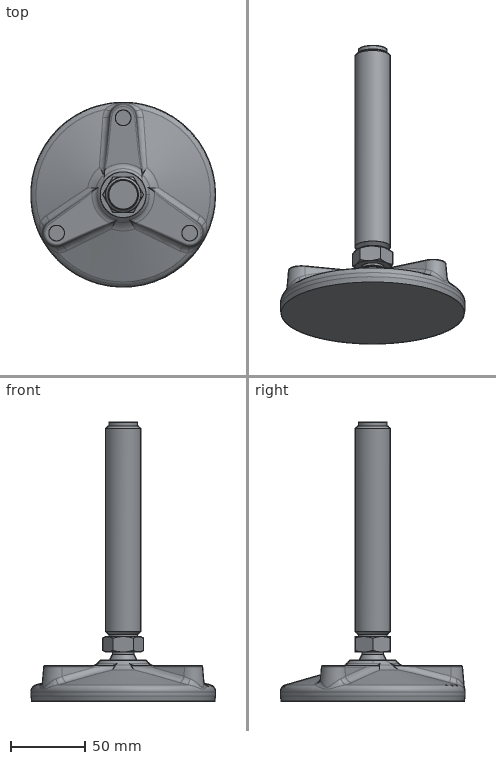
import cadquery as cq
import math

PLATE_RADIUS = 62.5
SOLE_RADIUS = 61.9
TAPER_HEIGHT = 3.5
RIM_ROUND = 5.0
RIM_CORNER_HEIGHT = 10.2
CONE_ANGLE = math.radians(16)

HUB_TOP = 28.1
HUB_RADIUS = 15.5
HUB_LIP = 0.4
VALLEY_ROUND = 13.2
COLLAR_ROUND = 5.0
COLLAR_ANGLE = math.radians(45)

ARM_COUNT = 3
FIRST_ARM_ANGLE = 90
ARM_TOP = 24.2
ARM_END_CENTER = 51.9
ARM_END_RADIUS = 8.7
ARM_FLARE = math.radians(6)
ARM_DRAFT = 5.0
ARM_FOOT_ROUND = 5.0
ARM_EDGE_ROUND = 1.0
ARM_SECTOR = 35
FOOT_EDGE_LOW = 7.5
FOOT_EDGE_HIGH = 14.2
ARM_ROOT = 5.7
MARK_DIAMETER = 10.5
MARK_DEPTH = 0.2

OVERALL_HEIGHT = 188.7
STUD_RADIUS = 24.0 / 2
STUD_RELIEF_RADIUS = 19.5 / 2
STUD_BOTTOM = 47.4
STUD_TOP = 184.2
TIP_LENGTH = 2.8
NUT_WIDTH = 24.0
NUT_BOTTOM = 33.4
NUT_TOP = 43.8
NUT_CHAMFER_ANGLE = math.radians(30)
NECK_RADIUS = 14.7 / 2
NECK_BOTTOM = 31.7
NECK_FOOT_RADIUS = 18.3 / 2

OVERLAP = 1.9
ARM_BLANK_TOP = 37.7
HEIGHT_TOLERANCE = 0.2


def cone_height(radius):
    """Height of the plate's conical top at a distance from the axis."""
    return RIM_CORNER_HEIGHT + (PLATE_RADIUS - radius) * math.tan(CONE_ANGLE)


def revolve_profile(points):
    """Revolve a closed (radius, height) polygon about Z."""
    return cq.Workplane("XZ").polyline(points).close().revolve(360, (0, 0), (0, 1))


def plate():
    turn = math.pi / 2 - CONE_ANGLE
    tangent = RIM_ROUND * math.tan(turn / 2)
    center_r = PLATE_RADIUS - RIM_ROUND
    round_start = RIM_CORNER_HEIGHT - tangent
    round_mid = (center_r + RIM_ROUND * math.cos(turn / 2), round_start + RIM_ROUND * math.sin(turn / 2))
    round_end = (center_r + RIM_ROUND * math.cos(turn), round_start + RIM_ROUND * math.sin(turn))
    return (
        cq.Workplane("XZ")
        .lineTo(SOLE_RADIUS, 0)
        .lineTo(PLATE_RADIUS, TAPER_HEIGHT)
        .lineTo(PLATE_RADIUS, round_start)
        .threePointArc(round_mid, round_end)
        .lineTo(0, cone_height(0))
        .close()
        .revolve(360, (0, 0), (0, 1))
    )


def collar(floor_corner, floor_angle, rounding):
    """Collar that runs into a floor sloping down at floor_angle, with a concave round.

    floor_corner is the (radius, height) where the unrounded collar meets the floor.
    """
    corner_r, corner_z = floor_corner
    turn = COLLAR_ANGLE - floor_angle
    tangent = rounding * math.tan(turn / 2)
    upper = (corner_r - tangent * math.cos(COLLAR_ANGLE), corner_z + tangent * math.sin(COLLAR_ANGLE))
    lower = (corner_r + tangent * math.cos(floor_angle), corner_z - tangent * math.sin(floor_angle))
    center = (upper[0] + rounding * math.sin(COLLAR_ANGLE), upper[1] + rounding * math.cos(COLLAR_ANGLE))
    middle_angle = (COLLAR_ANGLE + floor_angle) / 2
    middle = (center[0] - rounding * math.sin(middle_angle), center[1] - rounding * math.cos(middle_angle))
    return (
        cq.Workplane("XZ")
        .moveTo(0, HUB_TOP)
        .lineTo(HUB_RADIUS, HUB_TOP)
        .lineTo(HUB_RADIUS, HUB_TOP - HUB_LIP)
        .lineTo(*upper)
        .threePointArc(middle, lower)
        .lineTo(lower[0], lower[1] - OVERLAP)
        .lineTo(0, lower[1] - OVERLAP)
        .close()
        .revolve(360, (0, 0), (0, 1))
    )


def arm_prism(height):
    """Drafted arm along +X, from the rim taper up to the given height."""
    radius = ARM_END_RADIUS - (height - ARM_TOP) * math.tan(math.radians(ARM_DRAFT))
    side_x = ARM_END_CENTER + radius * math.sin(ARM_FLARE)
    side_y = radius * math.cos(ARM_FLARE)
    root_y = side_y + (side_x - ARM_ROOT) * math.tan(ARM_FLARE)
    return (
        cq.Workplane("XY")
        .workplane(offset=height)
        .moveTo(ARM_ROOT, -root_y)
        .lineTo(side_x, -side_y)
        .threePointArc((ARM_END_CENTER + radius, 0), (side_x, side_y))
        .lineTo(ARM_ROOT, root_y)
        .close()
        .extrude(TAPER_HEIGHT - height, taper=-ARM_DRAFT)
        .intersect(cq.Workplane("XY").circle(PLATE_RADIUS).extrude(height))
    )


def place_around(shape):
    """Repeat a shape that lies along +X at every arm position."""
    placed = cq.Workplane("XY")
    for index in range(ARM_COUNT):
        angle = FIRST_ARM_ANGLE + index * 360 / ARM_COUNT
        placed = placed.add(shape.rotate((0, 0, 0), (0, 0, 1), angle))
    return placed.combine()


def arm_edges(body, low, high):
    """Edges centred near an outer arm end and between two heights."""
    found = []
    for edge in body.edges().vals():
        center = edge.Center()
        radius = math.hypot(center.x, center.y)
        azimuth = math.degrees(math.atan2(center.y, center.x)) - FIRST_ARM_ANGLE
        spacing = 360 / ARM_COUNT
        off_arm = abs((azimuth + spacing / 2) % spacing - spacing / 2)
        near_arm = off_arm < ARM_SECTOR and ARM_END_CENTER / 2 < radius < PLATE_RADIUS
        if near_arm and low < center.z < high:
            found.append(edge)
    return found


def plate_with_arms():
    """Plate and arms: blended at the foot while the arms are tall, then trimmed to height."""
    body = plate().union(place_around(arm_prism(ARM_BLANK_TOP)))
    foot_edges = arm_edges(body, FOOT_EDGE_LOW, FOOT_EDGE_HIGH)
    body = body.newObject(foot_edges).fillet(ARM_FOOT_ROUND)
    arm_top_plane = cq.Workplane("XY").workplane(offset=ARM_TOP)
    above_arms = arm_top_plane.circle(PLATE_RADIUS + OVERLAP).extrude(ARM_BLANK_TOP)
    return body.cut(above_arms)


def foot():
    """Plate, arms and hub with their rounds, and a round mark on each arm end."""
    collar_sum = HUB_RADIUS + HUB_TOP - HUB_LIP
    slope = math.tan(CONE_ANGLE)
    valley_radius = (collar_sum - cone_height(0)) / (1 - slope)
    valley_corner = (valley_radius, cone_height(valley_radius))
    body = plate_with_arms().union(collar(valley_corner, CONE_ANGLE, VALLEY_ROUND))

    top_edges = arm_edges(body, ARM_TOP - HEIGHT_TOLERANCE, ARM_TOP + HEIGHT_TOLERANCE)
    body = body.newObject(top_edges).fillet(ARM_EDGE_ROUND)

    arm_corner = (collar_sum - ARM_TOP, ARM_TOP)
    arm_collar = collar(arm_corner, 0, COLLAR_ROUND).intersect(arm_prism(ARM_BLANK_TOP))
    body = body.union(place_around(arm_collar))

    mark = cq.Workplane("XY").workplane(offset=ARM_TOP).center(ARM_END_CENTER, 0)
    return body.cut(place_around(mark.circle(MARK_DIAMETER / 2).extrude(-MARK_DEPTH)))


def nut():
    corner_radius = NUT_WIDTH / math.sqrt(3)
    flat_radius = NUT_WIDTH / 2
    drop = (corner_radius - flat_radius) * math.tan(NUT_CHAMFER_ANGLE)
    hexagon = cq.Workplane("XY").workplane(offset=NUT_BOTTOM).polygon(6, 2 * corner_radius)
    envelope = revolve_profile([
        (0, NUT_BOTTOM),
        (flat_radius, NUT_BOTTOM),
        (corner_radius, NUT_BOTTOM + drop),
        (corner_radius, NUT_TOP - drop),
        (flat_radius, NUT_TOP),
        (0, NUT_TOP),
    ])
    return hexagon.extrude(NUT_TOP - NUT_BOTTOM).intersect(envelope)


def stud():
    tip_bottom = OVERALL_HEIGHT - TIP_LENGTH
    chamfer_top_radius = STUD_RADIUS - (tip_bottom - STUD_TOP)
    relief_top = STUD_BOTTOM - (STUD_RADIUS - STUD_RELIEF_RADIUS)
    return revolve_profile([
        (0, HUB_TOP - OVERLAP),
        (NECK_FOOT_RADIUS, HUB_TOP - OVERLAP),
        (NECK_FOOT_RADIUS, HUB_TOP),
        (NECK_RADIUS, NECK_BOTTOM),
        (NECK_RADIUS, NUT_TOP),
        (STUD_RELIEF_RADIUS, NUT_TOP),
        (STUD_RELIEF_RADIUS, relief_top),
        (STUD_RADIUS, STUD_BOTTOM),
        (STUD_RADIUS, STUD_TOP),
        (chamfer_top_radius, tip_bottom),
        (STUD_RELIEF_RADIUS, tip_bottom),
        (STUD_RELIEF_RADIUS, OVERALL_HEIGHT),
        (0, OVERALL_HEIGHT),
    ])


result = foot().union(nut()).union(stud())